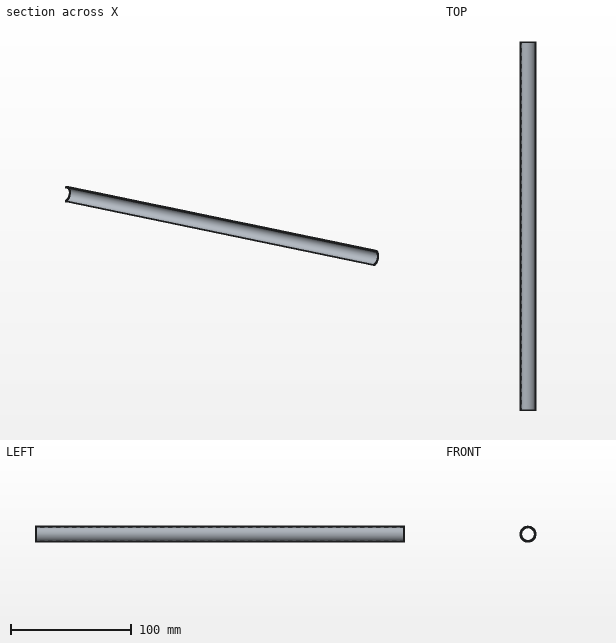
import cadquery as cq

length = 304.8
outer_diameter = 12.7
wall_thickness = 0.8
inner_diameter = outer_diameter - 2 * wall_thickness

result = (
    cq.Workplane("XZ", origin=(0, length / 2, 0))
    .circle(outer_diameter / 2)
    .circle(inner_diameter / 2)
    .extrude(length)
)